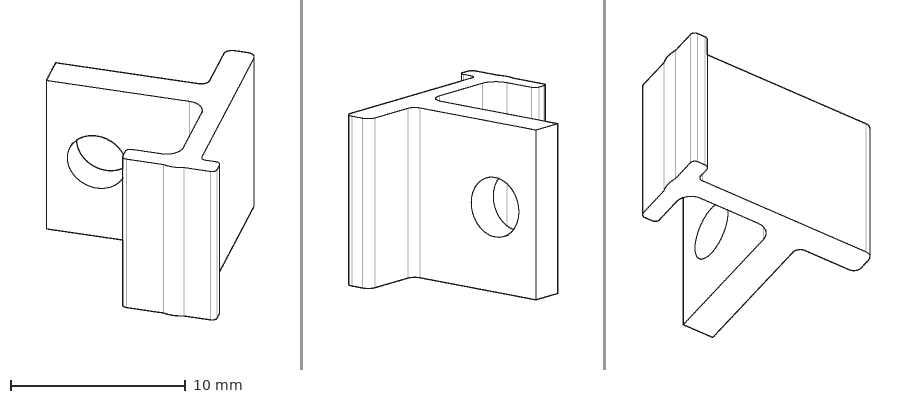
import cadquery as cq

overall_x = 12.0
overall_y = 13.1
height = 10.0

wall_right = 10.8
wall_thickness = 1.8
web_thickness = 1.3

arm_bottom = 7.1
arm_thickness = 2.0

flange_width = 5.6
flange_thickness = 1.1
crown_rise = 0.1
crown_width = 1.22

hole_diameter = 3.5
hole_x = 3.0

large_radius = 1.0
medium_radius = 0.5
small_radius = 0.3

wall_left = wall_right - wall_thickness
web_left = wall_right - web_thickness
arm_top = arm_bottom + arm_thickness
flange_left = overall_x - flange_width
flange_bottom = crown_rise
flange_top = flange_bottom + flange_thickness
crown_center = web_left


def round_upright_edges(body, radius, corners):
    """Round the upright edges passing through the given XY corners."""
    for x, y in corners:
        body = body.edges(cq.selectors.NearestToPointSelector((x, y, height / 2))).fillet(radius)
    return body


profile = (
    cq.Workplane("XY")
    .moveTo(0, arm_bottom)
    .lineTo(web_left, arm_bottom)
    .lineTo(web_left, flange_top)
    .lineTo(flange_left, flange_top)
    .lineTo(flange_left, flange_bottom)
    .lineTo(crown_center - crown_width / 2, flange_bottom)
    .threePointArc((crown_center, 0), (crown_center + crown_width / 2, flange_bottom))
    .lineTo(overall_x, flange_bottom)
    .lineTo(overall_x, flange_top)
    .lineTo(wall_right, flange_top)
    .lineTo(wall_right, overall_y)
    .lineTo(wall_left, overall_y)
    .lineTo(wall_left, arm_top)
    .lineTo(0, arm_top)
    .close()
)
body = profile.extrude(height)

body = round_upright_edges(body, large_radius, [(web_left, arm_bottom), (web_left, flange_top)])
body = round_upright_edges(
    body,
    medium_radius,
    [(wall_left, arm_top), (wall_left, overall_y), (wall_right, overall_y)],
)
body = round_upright_edges(
    body,
    small_radius,
    [
        (flange_left, flange_top),
        (flange_left, flange_bottom),
        (overall_x, flange_bottom),
        (overall_x, flange_top),
        (wall_right, flange_top),
    ],
)

hole = (
    cq.Workplane("XZ", origin=(hole_x, arm_top, height / 2))
    .circle(hole_diameter / 2)
    .extrude(arm_thickness)
)
result = body.cut(hole)